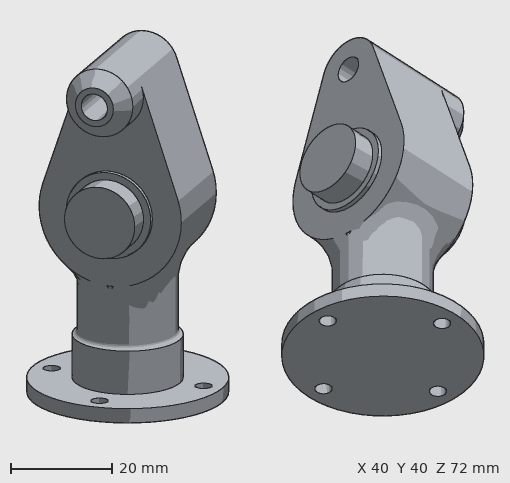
import cadquery as cq
import math

FLANGE_DIAMETER = 40.0
FLANGE_THICKNESS = 3.0
COLLAR_RADIUS = 11.0
COLLAR_HEIGHT = 12.0
NECK_RADIUS = 10.0
COLLAR_STEP = COLLAR_RADIUS - NECK_RADIUS

BOLT_HOLE_DIAMETER = 3.4
BOLT_CIRCLE_RADIUS = 16.0
BOLT_COUNT = 4

HEAD_RADIUS = 15.0
HEAD_HALF_WIDTH = NECK_RADIUS
PIVOT_HEIGHT = 40.0

TUBE_RADIUS = 7.0
TUBE_HEIGHT = 65.0
TUBE_OVERHANG = 9.0
TUBE_LENGTH = 2 * HEAD_HALF_WIDTH + TUBE_OVERHANG
TUBE_CHAMFER = 3.0
TUBE_BORE_DIAMETER = 5.5

PIN_REACH = 6.0
REAR_PIN_DIAMETER = 15.0
SHOULDER_THICKNESS = 1.0
REAR_SHOULDER_DIAMETER = 18.0
FRONT_REDUCTION = 0.2

BALL_RADIUS = 10.0
BALL_PATH_RADIUS = NECK_RADIUS + BALL_RADIUS
RIM_ANGLE = math.degrees(math.asin(HEAD_HALF_WIDTH / BALL_PATH_RADIUS))
LAST_ANGLE = 88.0
SECTION_COUNT = 9
BLEND_DEPTH = 1.3
JOIN_TOLERANCE = 0.003


def make_flange():
    return (
        cq.Workplane("XY")
        .circle(FLANGE_DIAMETER / 2)
        .extrude(FLANGE_THICKNESS)
        .faces(">Z")
        .workplane()
        .polarArray(BOLT_CIRCLE_RADIUS, 0, 360, BOLT_COUNT)
        .hole(BOLT_HOLE_DIAMETER)
    )


def make_neck():
    """Collar, a concave fillet where it narrows, then the neck up into the head."""
    return (
        cq.Workplane("XZ")
        .lineTo(COLLAR_RADIUS, 0)
        .lineTo(COLLAR_RADIUS, COLLAR_HEIGHT)
        .radiusArc((NECK_RADIUS, COLLAR_HEIGHT + COLLAR_STEP), COLLAR_STEP)
        .lineTo(NECK_RADIUS, PIVOT_HEIGHT)
        .lineTo(0, PIVOT_HEIGHT)
        .close()
        .revolve(360, (0, 0, 0), (0, 1, 0))
    )


def make_head():
    """Plate whose outline is two arcs joined by their common tangents."""
    sine = (HEAD_RADIUS - TUBE_RADIUS) / (TUBE_HEIGHT - PIVOT_HEIGHT)
    cosine = math.sqrt(1 - sine**2)
    low_x = HEAD_RADIUS * cosine
    low_z = PIVOT_HEIGHT + HEAD_RADIUS * sine
    high_x = TUBE_RADIUS * cosine
    high_z = TUBE_HEIGHT + TUBE_RADIUS * sine
    return (
        cq.Workplane("XZ")
        .moveTo(low_x, low_z)
        .lineTo(high_x, high_z)
        .threePointArc((0, TUBE_HEIGHT + TUBE_RADIUS), (-high_x, high_z))
        .lineTo(-low_x, low_z)
        .threePointArc((0, PIVOT_HEIGHT - HEAD_RADIUS), (low_x, low_z))
        .close()
        .extrude(HEAD_HALF_WIDTH, both=True)
    )


def blend_section(angle):
    """Wire of the blend cross-section where the ball touches the neck at the given angle."""
    radians = math.radians(angle)
    outward = cq.Vector(math.cos(radians), math.sin(radians), 0)
    ball_x = BALL_PATH_RADIUS * outward.x
    ball_y = BALL_PATH_RADIUS * outward.y
    contact_y = max(-HEAD_HALF_WIDTH, min(HEAD_HALF_WIDTH, ball_y))
    pivot_distance = HEAD_RADIUS + math.sqrt(BALL_RADIUS**2 - (ball_y - contact_y) ** 2)
    ball_drop = math.sqrt(pivot_distance**2 - ball_x**2)
    centre = cq.Vector(ball_x, ball_y, PIVOT_HEIGHT - ball_drop)
    toward_head = HEAD_RADIUS / pivot_distance
    head_point = cq.Vector(ball_x * toward_head, contact_y, PIVOT_HEIGHT - ball_drop * toward_head)

    to_neck = outward * -BALL_RADIUS
    to_head = head_point - centre
    neck_point = centre + to_neck
    middle_point = centre + (to_neck + to_head).normalized() * BALL_RADIUS
    neck_inner = centre + to_neck * BLEND_DEPTH
    head_inner = centre + to_head * BLEND_DEPTH
    return cq.Wire.assembleEdges(
        [
            cq.Edge.makeThreePointArc(neck_point, middle_point, head_point),
            cq.Edge.makeLine(head_point, head_inner),
            cq.Edge.makeLine(head_inner, neck_inner),
            cq.Edge.makeLine(neck_inner, neck_point),
        ]
    )


def make_blend_span(start, end):
    """Loft through evenly spaced blend sections between two angles."""
    step = (end - start) / (SECTION_COUNT - 1)
    sections = [blend_section(start + i * step) for i in range(SECTION_COUNT)]
    return cq.Workplane(cq.Solid.makeLoft(sections))


def make_blend_spans():
    """One span under the head and two past its rims on the +X side, repeated on the -X side."""
    under = make_blend_span(-RIM_ANGLE, RIM_ANGLE)
    corner = make_blend_span(RIM_ANGLE, LAST_ANGLE)
    right_side = [under, corner, corner.mirror("XZ")]
    return right_side + [span.mirror("YZ") for span in right_side]


def cylinder_along_y(diameter, height, y_start, length):
    """Cylinder centred on x = 0, running from y_start towards -Y."""
    return cq.Workplane("XZ", origin=(0, y_start, height)).circle(diameter / 2).extrude(length)


def make_pivot(reduction):
    """Shoulder and pin standing on the +Y face, with both diameters reduced by the given amount."""
    shoulder = cylinder_along_y(
        REAR_SHOULDER_DIAMETER - reduction,
        PIVOT_HEIGHT,
        HEAD_HALF_WIDTH + SHOULDER_THICKNESS,
        SHOULDER_THICKNESS,
    )
    pin = cylinder_along_y(
        REAR_PIN_DIAMETER - reduction, PIVOT_HEIGHT, HEAD_HALF_WIDTH + PIN_REACH, PIN_REACH
    )
    return shoulder.union(pin)


def make_tube():
    return (
        cylinder_along_y(2 * TUBE_RADIUS, TUBE_HEIGHT, HEAD_HALF_WIDTH, TUBE_LENGTH)
        .faces("<Y")
        .chamfer(TUBE_CHAMFER)
    )


def make_bore():
    return cylinder_along_y(TUBE_BORE_DIAMETER, TUBE_HEIGHT, HEAD_HALF_WIDTH, TUBE_LENGTH)


result = make_neck().union(make_head())
for span in make_blend_spans():
    result = result.union(span, tol=JOIN_TOLERANCE)
result = (
    result.union(make_flange())
    .union(make_pivot(0))
    .union(make_pivot(FRONT_REDUCTION).mirror("XZ"))
    .union(make_tube())
    .cut(make_bore())
)